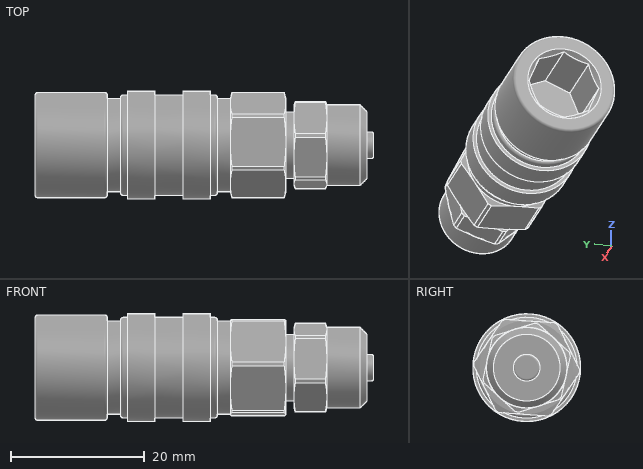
import cadquery as cq
import math

total_length = 50.65

sleeve_dia = 15.8
sleeve_length = 10.85
edge_round = 0.45

neck_dia = 14.0
collar_dia = 15.1
collar_start = 12.75
collar_end = 27.3
ring_dia = 16.15
ring_width = 4.1
ring_inset = 1.05

hexagon_sides = 6
bevel_angle = 15.0

large_hex_start = 29.2
large_hex_end = 37.5
large_hex_flats = 14.0
large_hex_corners = sleeve_dia
large_hex_turn = 4.0

small_neck_dia = 10.0
small_hex_start = 38.75
small_hex_end = 43.65
small_hex_flats = 12.0
small_hex_corners = 13.5
small_hex_turn = -17.4

nut_dia = 12.1
nut_end = 49.7
nut_chamfer = (nut_dia - small_neck_dia) / 2
pin_dia = 4.0
pin_round = 0.3

mouth_dia = 11.4
octagon_sides = 8
octagon_corners = 10.8
octagon_flats = octagon_corners * math.cos(math.pi / octagon_sides)
mouth_depth = (mouth_dia - octagon_flats) / 2
socket_depth = sleeve_length


def section(x):
    """Workplane across the axis at x; its normal points along +X."""
    return cq.Workplane("YZ").workplane(offset=x)


def cylinder(diameter, start, end):
    return section(start).circle(diameter / 2).extrude(end - start)


def bevelled_hexagon(flats, corners, turn, start, end):
    """Hexagon with its corners rounded to a cylinder and bevelled down to the flats at both ends."""
    length = end - start
    prism = (
        section(start)
        .polygon(hexagon_sides, flats / math.cos(math.pi / hexagon_sides))
        .extrude(length)
        .rotate((0, 0, 0), (1, 0, 0), -turn)
    )
    bevel_height = (corners - flats) / 2
    bevel_length = bevel_height * math.tan(math.radians(bevel_angle))
    blank = cylinder(corners, start, end).faces("<X or >X").chamfer(bevel_length, bevel_height)
    return prism.intersect(blank)


sleeve = cylinder(sleeve_dia, 0, sleeve_length).edges("%CIRCLE").fillet(edge_round)
neck = cylinder(neck_dia, sleeve_length, large_hex_start)
collar = cylinder(collar_dia, collar_start, collar_end).edges("%CIRCLE").fillet(edge_round)
front_ring_start = collar_start + ring_inset
rear_ring_end = collar_end - ring_inset
front_ring = cylinder(ring_dia, front_ring_start, front_ring_start + ring_width)
rear_ring = cylinder(ring_dia, rear_ring_end - ring_width, rear_ring_end)

large_hex = bevelled_hexagon(
    large_hex_flats, large_hex_corners, large_hex_turn, large_hex_start, large_hex_end
)
small_neck = cylinder(small_neck_dia, large_hex_end, small_hex_start)
small_hex = bevelled_hexagon(
    small_hex_flats, small_hex_corners, small_hex_turn, small_hex_start, small_hex_end
)

nut = cylinder(nut_dia, small_hex_end, nut_end).faces(">X").chamfer(nut_chamfer)
pin = cylinder(pin_dia, nut_end, total_length).faces(">X").edges().fillet(pin_round)

body = sleeve
for piece in (neck, collar, front_ring, rear_ring, large_hex, small_neck, small_hex, nut, pin):
    body = body.union(piece)

octagon_bore = section(0).polygon(octagon_sides, octagon_corners).extrude(socket_depth)
mouth_cone = cq.Solid.makeCone(
    mouth_dia / 2, octagon_flats / 2, mouth_depth, cq.Vector(0, 0, 0), cq.Vector(1, 0, 0)
)
result = body.cut(octagon_bore).cut(cq.Workplane(mouth_cone))